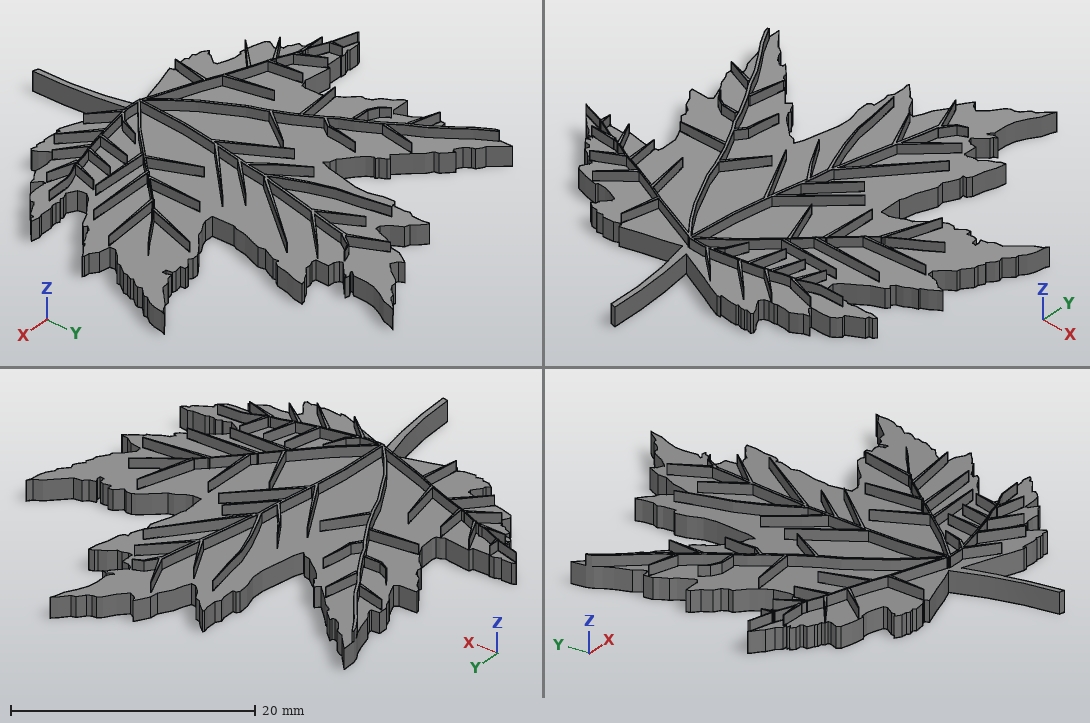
import cadquery as cq
import math


BLADE_THICKNESS = 2.0
VEIN_HEIGHT = 1.0
MAIN_VEIN_WIDTH = 0.25
BROAD_VEIN_TIP_WIDTH = 0.3
SIDE_VEIN_WIDTH = 0.3
VEIN_TIP_WIDTH = 0.06
VEIN_BEVEL = 0.025
BEVEL_ANGLE = 45.0

STEM_LEFT_TOP = (-0.6, -0.2)
STEM_LEFT_MIDDLE = (0.4, -4.5)
STEM_LEFT_END = (0.8, -10.05)
STEM_RIGHT_END = (1.35, -10.2)
STEM_RIGHT_MIDDLE = (1.05, -5.0)
STEM_RIGHT_TOP = (0.4, -0.8)

WEST_LOBE = [
    (-1.1, -0.4), (-2.2, -0.75), (-4.1, -1.25), (-5.7, -1.75), (-6.2, -1.9), (-6.3, -1.5),
    (-6.5, -1.5), (-7.0, -1.75), (-8.1, -1.85), (-8.3, -1.6), (-8.9, -1.75), (-9.1, -1.5),
    (-9.7, -1.45), (-10.25, -1.05), (-9.85, -0.85), (-9.8, -0.5), (-9.15, 0.3), (-9.2, 0.65),
    (-10.1, 1.0), (-10.8, 1.2), (-11.6, 1.2), (-11.7, 1.0), (-12.3, 1.1), (-13.05, 1.25),
    (-14.2, 1.6), (-14.4, 1.95), (-14.0, 2.7), (-14.0, 3.0), (-14.4, 3.05), (-14.45, 3.35),
    (-14.95, 3.4), (-15.1, 3.6), (-15.75, 3.9), (-15.65, 4.3), (-15.8, 4.55), (-16.35, 4.6),
    (-16.7, 5.0), (-16.3, 5.15), (-16.7, 5.25), (-16.4, 5.5), (-16.9, 5.5), (-17.3, 6.05),
    (-17.6, 6.2), (-18.05, 6.5), (-18.2, 6.7), (-18.9, 7.3), (-19.1, 7.55),
    (-18.7, 7.7), (-17.7, 7.7), (-17.6, 7.55), (-17.0, 7.8), (-16.5, 7.8), (-16.5, 7.7),
    (-14.8, 7.7), (-14.7, 8.1), (-14.2, 8.05), (-13.25, 7.9), (-12.45, 7.8), (-12.05, 7.7),
    (-11.7, 7.9), (-11.3, 8.0), (-11.2, 8.4),
]
NORTH_WEST_LOBE = [
    (-11.3, 10.0), (-11.6, 10.6), (-11.9, 11.1), (-12.25, 11.7), (-13.25, 12.7), (-13.2, 13.15),
    (-13.45, 13.7), (-14.05, 14.1), (-14.5, 15.0), (-15.1, 15.6), (-15.2, 16.0), (-13.4, 16.0),
    (-13.05, 16.3), (-13.4, 17.15), (-13.7, 17.8), (-14.1, 18.3), (-14.4, 19.1), (-14.7, 19.5),
    (-14.7, 20.45), (-13.9, 20.5), (-13.85, 20.7), (-14.0, 21.1), (-14.4, 21.7), (-14.8, 23.2),
    (-15.15, 24.1), (-15.5, 24.7), (-15.7, 25.35), (-15.75, 26.8),
    (-14.3, 25.15), (-14.0, 25.05), (-13.5, 24.7), (-13.4, 24.35), (-13.0, 23.8), (-12.35, 23.4),
    (-12.1, 23.5), (-12.1, 23.8), (-11.1, 22.85), (-11.0, 22.4), (-10.35, 22.0), (-9.7, 21.25),
    (-8.35, 19.9), (-7.95, 20.3), (-7.7, 20.1), (-7.4, 19.5), (-7.15, 19.35), (-7.25, 19.1),
    (-6.9, 18.55), (-6.25, 17.95), (-5.45, 17.35), (-5.0, 16.95), (-4.4, 16.8), (-4.0, 16.4),
]
CENTRE_LOBE = [
    (-3.85, 16.75), (-3.65, 17.3), (-3.4, 18.65), (-3.0, 20.7), (-3.0, 22.0), (-3.15, 22.55),
    (-3.4, 23.35), (-3.5, 24.5), (-3.25, 24.75), (-2.95, 24.75), (-2.95, 26.0), (-3.1, 26.5),
    (-2.8, 27.0), (-2.8, 28.05), (-2.95, 28.65), (-2.85, 28.8), (-2.05, 28.1), (-1.7, 27.65),
    (-1.2, 27.5), (-0.6, 26.45), (0.0, 25.9), (0.45, 25.85), (0.8, 26.65), (1.05, 27.5),
    (1.8, 28.7), (1.9, 29.55), (2.25, 30.15), (2.7, 30.85), (2.95, 30.35), (3.6, 30.0),
    (4.4, 30.8), (5.05, 31.8), (5.45, 32.15), (5.9, 32.15), (6.3, 32.4), (6.85, 33.1),
    (7.3, 33.2), (8.0, 34.0), (8.5, 34.45),
    (8.3, 34.0), (8.05, 33.1), (7.45, 32.1), (7.0, 31.1), (6.85, 30.2), (6.85, 28.85),
    (6.45, 28.35), (6.6, 28.3), (7.1, 28.6), (7.55, 28.5), (7.2, 28.3), (7.1, 28.0), (6.85, 27.8),
    (5.95, 26.95), (6.05, 26.65), (6.45, 26.4), (7.1, 26.35), (7.1, 25.0), (7.5, 24.95),
    (8.0, 25.15), (8.5, 25.15), (9.1, 25.7), (9.8, 26.05), (10.0, 26.25), (10.5, 26.4),
    (10.45, 26.05), (10.35, 25.4), (10.0, 24.4), (9.8, 23.2), (9.5, 22.75), (9.15, 22.75),
    (9.25, 22.25), (8.85, 21.35), (8.6, 20.9), (8.75, 20.2), (8.45, 19.3), (8.05, 18.25),
    (7.9, 17.2), (7.7, 16.75), (7.8, 14.5),
]
NORTH_EAST_LOBE = [
    (8.65, 14.5), (9.2, 14.7), (10.0, 15.2), (10.55, 15.35), (11.5, 16.2), (12.55, 17.0),
    (12.9, 17.2), (13.45, 17.2), (13.8, 16.95), (14.5, 17.6), (14.95, 17.65), (15.0, 17.15),
    (15.7, 17.3), (16.05, 17.2), (16.15, 16.6), (16.55, 16.55), (16.55, 16.95), (16.35, 17.35),
    (17.0, 17.5), (17.4, 17.9), (18.2, 18.0), (19.55, 19.3), (20.0, 19.75), (20.75, 20.15),
    (21.09, 20.6),
    (20.9, 20.1), (20.8, 19.25), (20.55, 18.55), (20.1, 17.95), (20.15, 17.6), (19.35, 16.75),
    (19.5, 16.35), (19.35, 16.0), (18.85, 15.4), (19.0, 15.2), (18.7, 14.6), (18.7, 14.2),
    (18.0, 13.25), (18.0, 12.9), (17.2, 12.3), (16.55, 11.5), (16.6, 10.95), (17.7, 10.75),
    (18.4, 10.25), (18.95, 10.2), (19.1, 10.1), (18.7, 9.85), (18.15, 9.4), (17.5, 9.05),
    (17.5, 8.85), (16.95, 8.65), (16.4, 8.25), (15.75, 8.0), (15.45, 7.6), (15.75, 7.4),
    (15.45, 7.05), (14.3, 6.5), (13.45, 5.85), (12.35, 5.05), (11.95, 4.55), (12.0, 4.05),
]
EAST_LOBE = [
    (12.1, 3.7), (13.0, 3.2), (13.65, 3.5), (13.85, 3.35), (14.3, 3.65), (14.6, 3.5),
    (15.05, 3.5), (15.4, 3.65), (16.6, 3.65), (17.05, 3.8), (17.9, 3.65),
    (17.6, 3.35), (17.25, 3.3), (17.2, 2.95), (15.65, 2.05), (15.75, 1.75), (15.45, 1.4),
    (15.0, 1.05), (14.2, 0.95), (12.95, 0.95), (12.9, 0.65), (13.7, 0.0), (13.1, -0.15),
    (12.8, -0.4), (12.1, -0.8), (11.55, -0.7), (10.7, -0.7), (10.4, -0.8), (9.85, -0.8),
    (9.4, -0.95), (9.15, -1.35), (9.45, -1.9), (9.85, -2.35), (10.1, -2.9), (9.95, -3.1),
    (9.4, -2.95), (9.25, -3.1), (8.85, -3.1), (8.4, -2.95), (8.3, -3.1), (7.7, -3.1),
    (6.45, -2.95), (6.6, -3.2), (6.2, -3.2), (5.15, -2.8), (3.8, -2.2), (2.2, -1.55),
    (0.6, -0.9),
]

BROAD_VEINS = [
    [(-0.2, 0.2), (-1.7, 1.95), (-3.05, 3.85), (-3.85, 5.3), (-5.0, 7.35), (-5.6, 8.9),
     (-6.55, 10.9), (-7.95, 13.3), (-8.6, 14.2), (-9.2, 15.45), (-10.35, 17.4), (-11.4, 18.9),
     (-12.25, 20.45), (-13.55, 22.25), (-14.6, 23.6), (-15.4, 24.9), (-15.7, 25.4)],
    [(-0.05, 0.0), (0.2, 5.05), (0.6, 8.15), (1.0, 10.55), (1.4, 12.95), (1.6, 14.75),
     (1.95, 15.95), (2.2, 17.3), (2.8, 20.25), (3.2, 22.0), (3.6, 23.9), (3.9, 25.6)],
]
MAIN_VEINS = [
    [(0.0, 0.15), (-5.45, 2.2), (-7.2, 3.0), (-9.75, 4.0), (-11.8, 4.7), (-13.25, 5.4),
     (-14.75, 5.85), (-16.6, 6.7), (-18.9, 7.4), (-19.1, 7.5)],
    [(0.1, 0.15), (3.15, 2.8), (5.7, 5.45), (7.05, 6.85), (7.85, 7.75), (10.0, 9.95),
     (11.2, 11.1), (12.7, 12.15), (14.05, 13.05), (15.45, 14.1)],
    [(0.0, 0.1), (1.5, 0.05), (3.15, 0.35), (5.0, 0.7), (6.65, 1.05), (8.0, 1.4),
     (9.05, 1.75), (10.4, 2.0), (11.5, 2.5), (12.3, 2.75), (14.7, 2.85)],
]
SIDE_VEINS = [
    [(-16.5, 6.6), (-16.6, 7.8)],
    [(-13.3, 5.4), (-14.6, 7.95)],
    [(-11.2, 4.5), (-11.6, 7.8)],
    [(-7.2, 3.0), (-8.2, 7.65)],
    [(-14.0, 5.65), (-16.6, 5.65)],
    [(-11.7, 4.7), (-14.35, 3.05)],
    [(-9.5, 3.85), (-12.2, 1.15)],
    [(-5.75, 2.3), (-6.4, -1.45)],
    [(-11.7, 19.1), (-14.6, 20.0)],
    [(-9.4, 15.2), (-11.0, 15.25), (-11.9, 15.75), (-12.5, 16.55)],
    [(-7.0, 11.5), (-11.8, 11.1)],
    [(-10.3, 17.6), (-9.7, 21.1)],
    [(-7.95, 13.3), (-7.2, 14.3), (-7.1, 15.5), (-6.8, 17.5)],
    [(-5.75, 9.3), (-3.1, 12.9)],
    [(3.9, 25.4), (2.3, 28.95)],
    [(2.95, 21.0), (0.8, 25.05)],
    [(1.6, 14.8), (1.05, 15.95), (0.05, 18.3), (-0.7, 20.6), (-1.0, 22.5), (-1.65, 25.75)],
    [(1.3, 12.65), (-0.05, 14.35), (-1.9, 17.2)],
    [(0.6, 8.3), (-2.85, 14.3)],
    [(3.9, 25.2), (4.8, 26.5), (5.7, 26.9)],
    [(3.0, 21.2), (6.85, 25.0)],
    [(1.8, 15.1), (7.8, 22.5)],
    [(1.2, 11.8), (4.85, 15.6)],
    [(0.7, 8.9), (6.2, 14.25)],
    [(5.9, 5.6), (3.9, 10.35)],
    [(7.9, 7.75), (7.95, 13.3)],
    [(11.15, 11.0), (12.9, 16.4)],
    [(5.6, 5.2), (11.65, 5.25)],
    [(7.3, 7.2), (14.45, 7.4)],
    [(10.1, 10.1), (16.5, 10.75)],
    [(2.2, 0.2), (3.05, 1.0), (3.9, 2.95)],
    [(5.85, 0.9), (6.7, 4.45)],
    [(7.95, 1.4), (8.85, 4.45)],
    [(10.25, 2.0), (11.15, 4.6)],
    [(1.9, 0.1), (4.45, -2.15)],
    [(5.05, 0.65), (8.2, -2.1)],
    [(7.5, 1.25), (10.05, -0.75)],
    [(9.9, 1.85), (12.8, 1.0)],
]


def leaf_blade(height):
    """Leaf and stem outline, raised from Z = 0 to the given height."""
    margin = WEST_LOBE + NORTH_WEST_LOBE + CENTRE_LOBE + NORTH_EAST_LOBE + EAST_LOBE
    outline = (
        cq.Workplane("XY")
        .polyline([STEM_LEFT_TOP] + margin + [STEM_RIGHT_TOP])
        .threePointArc(STEM_RIGHT_MIDDLE, STEM_RIGHT_END)
        .lineTo(*STEM_LEFT_END)
        .threePointArc(STEM_LEFT_MIDDLE, STEM_LEFT_TOP)
        .close()
    )
    return outline.extrude(height)


def vein_ridge(centre_line, root_width, tip_width):
    """Ridge along a centre line, its width changing evenly from root to tip, bevelled on top."""
    steps = [math.dist(a, b) for a, b in zip(centre_line, centre_line[1:])]
    left_side = []
    right_side = []
    for i, (x, y) in enumerate(centre_line):
        before = centre_line[max(i - 1, 0)]
        after = centre_line[min(i + 1, len(centre_line) - 1)]
        heading = math.atan2(after[1] - before[1], after[0] - before[0])
        travelled = sum(steps[:i]) / sum(steps)
        half_width = (root_width + (tip_width - root_width) * travelled) / 2
        dx = -math.sin(heading) * half_width
        dy = math.cos(heading) * half_width
        left_side.append((x + dx, y + dy))
        right_side.append((x - dx, y - dy))
    outline = left_side + right_side[::-1]
    wall_height = VEIN_HEIGHT - VEIN_BEVEL
    base_plane = cq.Workplane("XY", origin=(0, 0, BLADE_THICKNESS))
    wall = base_plane.polyline(outline).close().extrude(wall_height)
    bevel_plane = base_plane.workplane(offset=wall_height)
    bevel = bevel_plane.polyline(outline).close().extrude(VEIN_BEVEL, taper=BEVEL_ANGLE)
    return wall.union(bevel)


def vein_network():
    """All veins, trimmed where they reach the leaf margin."""
    ridges = [vein_ridge(line, MAIN_VEIN_WIDTH, BROAD_VEIN_TIP_WIDTH) for line in BROAD_VEINS]
    ridges += [vein_ridge(line, MAIN_VEIN_WIDTH, VEIN_TIP_WIDTH) for line in MAIN_VEINS]
    ridges += [vein_ridge(line, SIDE_VEIN_WIDTH, VEIN_TIP_WIDTH) for line in SIDE_VEINS]
    network = ridges[0]
    for ridge in ridges[1:]:
        network = network.union(ridge)
    return network.intersect(leaf_blade(BLADE_THICKNESS + VEIN_HEIGHT))


result = leaf_blade(BLADE_THICKNESS).union(vein_network()).solids()